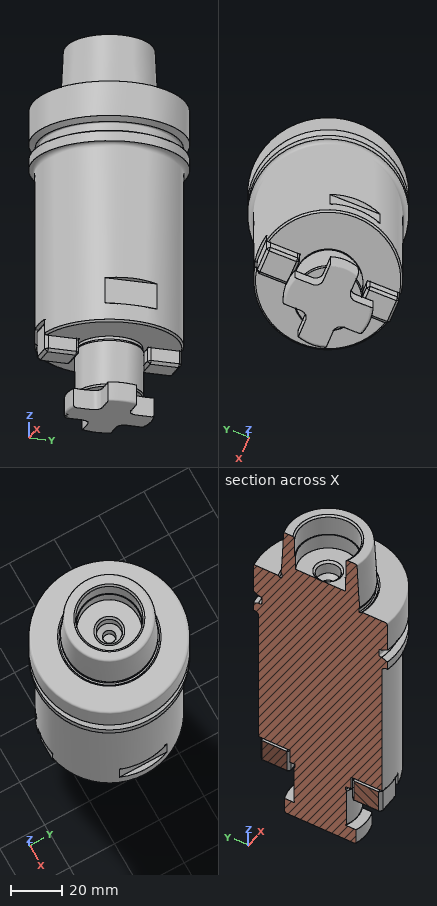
import cadquery as cq
import math


TOTAL_LENGTH = 154.0

SHANK_TOP_Z = 25.0
SHANK_TOP_RADIUS = 18.0
SHANK_BASE_RADIUS = 19.1
SHANK_BASE_Z = 2.0
SHANK_EDGE = 1.1
SHANK_NECK_RADIUS = 18.8
SHANK_NECK_Z = 1.1
FACE_GROOVE_RADIUS = 20.2
FACE_GROOVE_DEPTH = 0.6

BORE_RADIUS = 13.1
BORE_EDGE = 0.8
BORE_STEP_DEPTH = 10.2
BORE_LOWER_RADIUS = 12.8
BORE_DEPTH = 17.4
CENTRE_HOLE_RADIUS = 5.1
CENTRE_HOLE_EDGE = 1.0
CENTRE_HOLE_DEPTH = 6.2
CENTRE_CONE_DEPTH = 1.4
CENTRE_TIP_RADIUS = 2.6
CENTRE_TIP_DEPTH = 5.0

FLANGE_DIAMETER = 63.0
FLANGE_RADIUS = FLANGE_DIAMETER / 2
FLANGE_TOP_EDGE = 1.1
UPPER_RIM_BOTTOM_Z = -14.8
GROOVE_RADIUS = 27.7
GROOVE_TOP_Z = -16.3
GROOVE_BOTTOM_Z = -20.0
LOWER_RIM_TOP_Z = -21.3
LOWER_RIM_BOTTOM_Z = -25.4
GROOVE_MOUTH_RADIUS = 29.0
GROOVE_FILLET = 0.5

BODY_RADIUS = 29.1
BODY_BOTTOM_Z = -100.1
BODY_EDGE = 0.8
SHOULDER_FILLET = 1.8

HEAD_BOTTOM_Z = SHANK_TOP_Z - TOTAL_LENGTH
HEAD_HEIGHT = 8.0
HEAD_TOP_Z = HEAD_BOTTOM_Z + HEAD_HEIGHT
HEAD_RADIUS = 17.5
HEAD_EDGE_RADIUS = 1.1
LOBE_WIDTH = 11.7
LOBE_FILLET = 3.2
PILOT_RADIUS = 13.5
PILOT_TOP_Z = -102.1
NECK_RADIUS = 13.1
PILOT_EDGE = PILOT_RADIUS - NECK_RADIUS
PILOT_EDGE_HEIGHT = 0.8

FLAT_DISTANCE = 27.1
FLAT_CENTRE_Z = -87.2
FLAT_HEIGHT = 10.5
FLAT_MOUTH_HEIGHT = 11.2

DIMPLE_ANGLE = -110.0
DIMPLE_Z = -87.0
DIMPLE_RADIUS = 2.0
DIMPLE_EDGE = 0.5
DOME_RADIUS = 1.4
DIMPLE_DEPTH = 2.2

KEY_WIDTH = 11.7
KEY_INNER_Y = 14.2
KEY_OUTER_Y = 28.0
KEY_TOP_Z = -93.6
KEY_BOTTOM_Z = -106.5
KEY_EDGE = 1.15


def make_turned_outside():
    """Shank, grooved flange, body and pilot in one outline, traced from the top down."""
    return (
        cq.Workplane("XZ")
        .moveTo(0, SHANK_TOP_Z)
        .lineTo(SHANK_TOP_RADIUS - SHANK_EDGE, SHANK_TOP_Z)
        .tangentArcPoint((SHANK_TOP_RADIUS, SHANK_TOP_Z - SHANK_EDGE), relative=False)
        .lineTo(SHANK_BASE_RADIUS, SHANK_BASE_Z)
        .lineTo(SHANK_NECK_RADIUS, SHANK_NECK_Z)
        .lineTo(SHANK_NECK_RADIUS, -FACE_GROOVE_DEPTH)
        .lineTo(FACE_GROOVE_RADIUS - FACE_GROOVE_DEPTH, -FACE_GROOVE_DEPTH)
        .lineTo(FACE_GROOVE_RADIUS, 0)
        .lineTo(FLANGE_RADIUS - FLANGE_TOP_EDGE, 0)
        .tangentArcPoint((FLANGE_RADIUS, -FLANGE_TOP_EDGE), relative=False)
        .lineTo(FLANGE_RADIUS, UPPER_RIM_BOTTOM_Z)
        .lineTo(GROOVE_MOUTH_RADIUS, GROOVE_TOP_Z)
        .lineTo(GROOVE_RADIUS + GROOVE_FILLET, GROOVE_TOP_Z)
        .tangentArcPoint((GROOVE_RADIUS, GROOVE_TOP_Z - GROOVE_FILLET), relative=False)
        .lineTo(GROOVE_RADIUS, GROOVE_BOTTOM_Z + GROOVE_FILLET)
        .tangentArcPoint((GROOVE_RADIUS + GROOVE_FILLET, GROOVE_BOTTOM_Z), relative=False)
        .lineTo(GROOVE_MOUTH_RADIUS, GROOVE_BOTTOM_Z)
        .lineTo(FLANGE_RADIUS, LOWER_RIM_TOP_Z)
        .lineTo(FLANGE_RADIUS, LOWER_RIM_BOTTOM_Z)
        .lineTo(BODY_RADIUS + SHOULDER_FILLET, LOWER_RIM_BOTTOM_Z)
        .tangentArcPoint((BODY_RADIUS, LOWER_RIM_BOTTOM_Z - SHOULDER_FILLET), relative=False)
        .lineTo(BODY_RADIUS, BODY_BOTTOM_Z + BODY_EDGE)
        .lineTo(BODY_RADIUS - BODY_EDGE, BODY_BOTTOM_Z)
        .lineTo(NECK_RADIUS, BODY_BOTTOM_Z)
        .lineTo(NECK_RADIUS, PILOT_TOP_Z + PILOT_EDGE_HEIGHT)
        .lineTo(PILOT_RADIUS, PILOT_TOP_Z)
        .lineTo(PILOT_RADIUS, HEAD_TOP_Z + PILOT_EDGE_HEIGHT)
        .lineTo(PILOT_RADIUS - PILOT_EDGE, HEAD_TOP_Z)
        .lineTo(0, HEAD_TOP_Z)
        .close()
        .revolve(360, (0, 0, 0), (0, 1, 0))
    )


def make_bore():
    """Stepped bore in the shank, with a cone-bottomed hole in the middle of its floor."""
    floor_z = SHANK_TOP_Z - BORE_DEPTH
    cone_top_z = floor_z - CENTRE_HOLE_DEPTH
    cone_bottom_z = cone_top_z - CENTRE_CONE_DEPTH
    step_z = SHANK_TOP_Z - BORE_STEP_DEPTH
    outline = [
        (0, SHANK_TOP_Z),
        (BORE_RADIUS + BORE_EDGE, SHANK_TOP_Z),
        (BORE_RADIUS, SHANK_TOP_Z - BORE_EDGE),
        (BORE_RADIUS, step_z),
        (BORE_LOWER_RADIUS, step_z),
        (BORE_LOWER_RADIUS, floor_z),
        (CENTRE_HOLE_RADIUS + CENTRE_HOLE_EDGE, floor_z),
        (CENTRE_HOLE_RADIUS, floor_z - CENTRE_HOLE_EDGE),
        (CENTRE_HOLE_RADIUS, cone_top_z),
        (CENTRE_TIP_RADIUS, cone_bottom_z),
        (CENTRE_TIP_RADIUS, cone_bottom_z - CENTRE_TIP_DEPTH),
        (0, cone_bottom_z - CENTRE_TIP_DEPTH),
    ]
    return cq.Workplane("XZ").polyline(outline).close().revolve(360, (0, 0, 0), (0, 1, 0))


def make_cross_head():
    """Four-lobed head: a cross with filleted inner corners, trimmed to a round-edged disc."""
    base = cq.Workplane("XY").workplane(offset=HEAD_BOTTOM_Z)
    bar_x = base.rect(2 * HEAD_RADIUS, LOBE_WIDTH).extrude(HEAD_HEIGHT)
    bar_y = base.rect(LOBE_WIDTH, 2 * HEAD_RADIUS).extrude(HEAD_HEIGHT)
    inner_corner = LOBE_WIDTH / 2 + LOBE_FILLET
    inner_edges = cq.selectors.BoxSelector(
        (-inner_corner, -inner_corner, HEAD_BOTTOM_Z),
        (inner_corner, inner_corner, HEAD_TOP_Z),
    )
    cross = bar_x.union(bar_y).edges("|Z").edges(inner_edges).fillet(LOBE_FILLET)
    disc = base.circle(HEAD_RADIUS).extrude(HEAD_HEIGHT).faces("<Z").edges().fillet(HEAD_EDGE_RADIUS)
    return cross.intersect(disc)


def make_flat_cutter(side):
    """Wrench flat with sloping end walls; side is +1 for +X and -1 for -X."""
    draft = (FLAT_MOUTH_HEIGHT - FLAT_HEIGHT) / 2
    slope = draft / (BODY_RADIUS - FLAT_DISTANCE)
    outer_x = FLANGE_RADIUS
    outer_half_height = FLAT_HEIGHT / 2 + slope * (outer_x - FLAT_DISTANCE)
    return (
        cq.Workplane("XZ")
        .polyline([
            (side * FLAT_DISTANCE, FLAT_CENTRE_Z - FLAT_HEIGHT / 2),
            (side * outer_x, FLAT_CENTRE_Z - outer_half_height),
            (side * outer_x, FLAT_CENTRE_Z + outer_half_height),
            (side * FLAT_DISTANCE, FLAT_CENTRE_Z + FLAT_HEIGHT / 2),
        ])
        .close()
        .extrude(BODY_RADIUS, both=True)
    )


def make_dimple_cutter():
    """Radial round hole with a flared mouth, around a dome that rises from its floor."""
    angle = math.radians(DIMPLE_ANGLE)
    direction = cq.Vector(math.cos(angle), math.sin(angle), 0)
    floor_centre = direction * (BODY_RADIUS - DIMPLE_DEPTH) + cq.Vector(0, 0, DIMPLE_Z)
    floor = cq.Workplane(cq.Plane(floor_centre, normal=direction))
    hole_radius = DIMPLE_RADIUS - DIMPLE_EDGE
    hole = floor.circle(hole_radius).extrude(DIMPLE_DEPTH)
    mouth = (
        floor.workplane(offset=DIMPLE_DEPTH - DIMPLE_EDGE)
        .circle(hole_radius)
        .workplane(offset=DIMPLE_EDGE)
        .circle(DIMPLE_RADIUS)
        .loft()
    )
    return hole.union(mouth).cut(floor.sphere(DOME_RADIUS))


def make_key_block(side, outer_y):
    """Plain block of key width and height, from the inner end of a key out to outer_y."""
    length = outer_y - KEY_INNER_Y
    height = KEY_TOP_Z - KEY_BOTTOM_Z
    centre_y = side * (outer_y + KEY_INNER_Y) / 2
    centre_z = (KEY_TOP_Z + KEY_BOTTOM_Z) / 2
    return cq.Workplane("XY").box(KEY_WIDTH, length, height).translate((0, centre_y, centre_z))


def make_key_slot(side):
    """Slot for a drive key, open through the side and the bottom of the body."""
    return make_key_block(side, FLANGE_RADIUS)


def make_key(side):
    """Drive key with all edges chamfered; side is +1 for +Y and -1 for -Y."""
    return make_key_block(side, KEY_OUTER_Y).edges().chamfer(KEY_EDGE).solids()


def make_holder():
    """Holder in one piece with its pilot and cross head, cut for the flats and the drive keys."""
    holder = make_turned_outside().union(make_cross_head()).cut(make_bore()).cut(make_dimple_cutter())
    for side in (-1, 1):
        holder = holder.cut(make_flat_cutter(side)).cut(make_key_slot(side))
    return holder.solids()


holder = make_holder()
keys = [make_key(side) for side in (-1, 1)]

result = cq.Compound.makeCompound([holder.val(), *[key.val() for key in keys]])